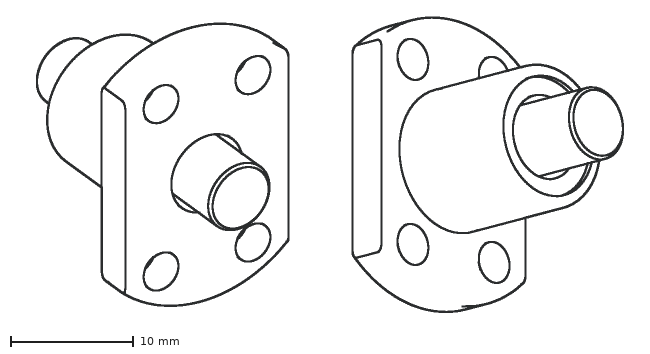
import cadquery as cq
import math

shaft_length = 26.0
shaft_diameter = 6.0
shaft_chamfer = 0.25

barrel_start = 6.0
barrel_diameter = 12.0
barrel_length = 11.5
edge_radius = 0.5
flange_thickness = 3.5
flange_diameter = 24.0
flange_width = 16.0
bore_diameter = 7.0
recess_diameter = 10.0
recess_depth = 0.5

hole_diameter = 3.4
hole_circle_radius = 9.0
hole_angle = 60.0

flange_start = barrel_start + barrel_length
nut_length = barrel_length + flange_thickness


def cylinder_x(start, length, diameter):
    """Cylinder on the X axis, from start toward +X."""
    return cq.Workplane("YZ", origin=(start, 0, 0)).circle(diameter / 2).extrude(length)


def make_shaft():
    """Plain round shaft, chamfered at both ends."""
    return cylinder_x(0, shaft_length, shaft_diameter).faces("<X or >X").chamfer(shaft_chamfer)


def make_flange():
    """Disc with rounded rims, cut flat on both Y sides, with four through holes."""
    disc = cylinder_x(flange_start, flange_thickness, flange_diameter)
    disc = disc.faces("<X or >X").edges().fillet(edge_radius)
    flats = cq.Workplane("YZ", origin=(flange_start, 0, 0))
    flats = flats.rect(flange_width, flange_diameter).extrude(flange_thickness)

    hole_y = hole_circle_radius * math.cos(math.radians(hole_angle))
    hole_z = hole_circle_radius * math.sin(math.radians(hole_angle))
    holes = (
        cq.Workplane("YZ", origin=(flange_start, 0, 0))
        .rect(2 * hole_y, 2 * hole_z, forConstruction=True)
        .vertices()
        .circle(hole_diameter / 2)
        .extrude(flange_thickness)
    )
    return disc.intersect(flats).cut(holes)


def make_nut():
    """Flanged barrel with a clearance bore and a shallow recess in its -X face."""
    barrel = cylinder_x(barrel_start, barrel_length, barrel_diameter)
    barrel = barrel.faces("<X").edges().fillet(edge_radius)
    bore = cylinder_x(barrel_start, nut_length, bore_diameter)
    recess = cylinder_x(barrel_start, recess_depth, recess_diameter)
    return barrel.union(make_flange()).cut(bore).cut(recess)


shaft = make_shaft()
nut = make_nut()

result = cq.Compound.makeCompound([shaft.val(), *nut.solids().vals()])